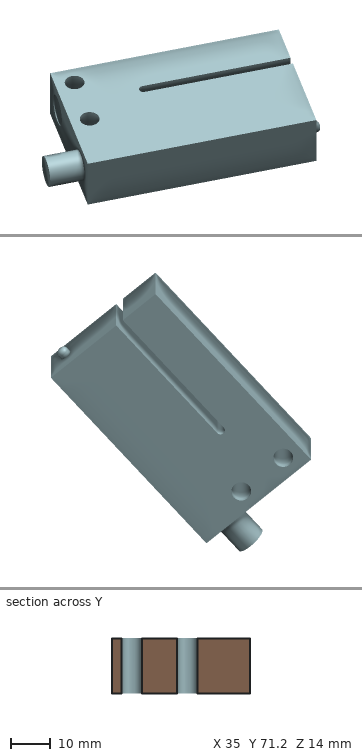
import cadquery as cq

body_width = 35.0
body_length = 60.0
body_height = 14.0

slot_width = 2.2
slot_depth = 40.05
slot_x = 12.05

hole_diameter = 5.0
hole_edge_distance = 5.0
hole_spacing = 14.0

round_diameter = 8.0
round_z = 7.4
cable_x = 28.0
cable_length = 9.0
window_x = 6.85
window_depth = 0.3

pin_diameter = 3.0
overall_length = 71.25
pin_length = overall_length - body_length - cable_length
pin_x = 30.0
pin_z = body_height / 2
pin_fillet = 1.15


def cylinder_along_y(x, y, z, diameter, length):
    """Cylinder starting at (x, y, z) and running toward +Y."""
    return cq.Workplane("XY").add(
        cq.Solid.makeCylinder(diameter / 2, length, cq.Vector(x, y, z), cq.Vector(0, 1, 0))
    )


def make_body():
    return cq.Workplane("XY").box(body_width, body_length, body_height, centered=False)


def make_slot():
    slot_radius = slot_width / 2
    return (
        cq.Workplane("XY")
        .moveTo(slot_x - slot_radius, body_length)
        .lineTo(slot_x - slot_radius, body_length - slot_depth + slot_radius)
        .threePointArc(
            (slot_x, body_length - slot_depth),
            (slot_x + slot_radius, body_length - slot_depth + slot_radius),
        )
        .lineTo(slot_x + slot_radius, body_length)
        .close()
        .extrude(body_height)
    )


def make_mounting_holes():
    centers = [(hole_edge_distance + i * hole_spacing, hole_edge_distance) for i in range(2)]
    return cq.Workplane("XY").pushPoints(centers).circle(hole_diameter / 2).extrude(body_height)


def make_pin():
    pin = cylinder_along_y(pin_x, body_length, pin_z, pin_diameter, pin_length)
    return pin.faces(">Y").edges().fillet(pin_fillet)


cable = cylinder_along_y(cable_x, -cable_length, round_z, round_diameter, cable_length)
window = cylinder_along_y(window_x, 0, round_z, round_diameter, window_depth)

result = (
    make_body()
    .cut(make_slot())
    .cut(make_mounting_holes())
    .cut(window)
    .union(cable)
    .union(make_pin())
)